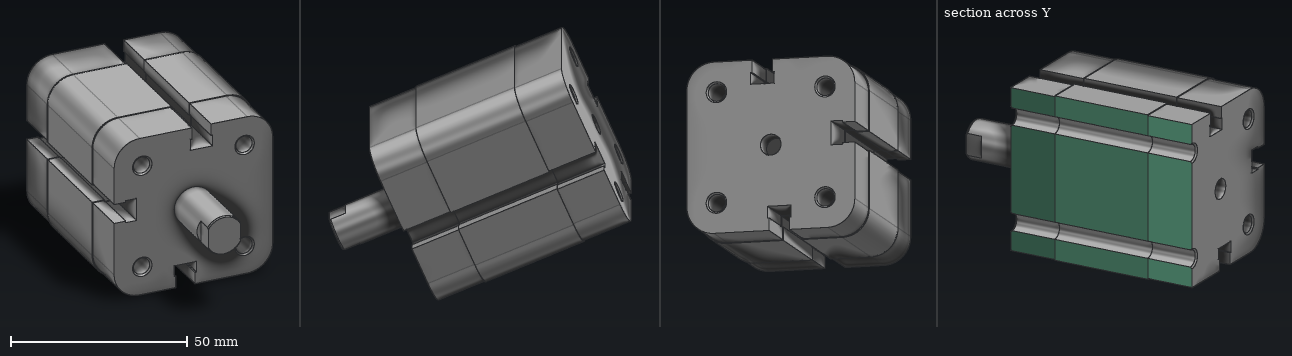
import cadquery as cq

cap_length = 14.5
barrel_length = 30.5
total_length = 80.5
barrel_start = cap_length
front_cap_start = barrel_start + barrel_length
rod_start = front_cap_start + cap_length

barrel_side = 50.0
corner_radius = 8.0
cap_inset = 0.25

slot_offset = 2.5
slot_mouth_width = 5.5
slot_channel_width = 6.4
slot_mouth_depth = 3.9
slot_depth = 7.0

hole_spacing = 31.95
hole_diameter = 5.1
hole_chamfer = 0.5
centre_hole_diameter = 6.0
centre_hole_depth = 6.4

rod_diameter = 12.0
across_flats = 10.0
flat_length = 5.0
flat_runout = 0.5
rod_chamfer_length = 0.5
rod_chamfer_depth = 0.25


def section_plane(x):
    """Plane facing +X whose local axes are Y and Z."""
    return cq.Workplane("YZ", origin=(x, 0, 0))


def slot_cutter(inset, start, length, turn):
    """T-slot opening at +Z, offset towards +Y, then turned about the X axis.

    The inset widens and deepens the slot but leaves the step at the same height.
    """
    outer = barrel_side / 2
    channel_height = slot_depth - slot_mouth_depth + inset
    channel_bottom = outer - slot_depth - inset
    mouth = (
        section_plane(start)
        .center(slot_offset, outer - slot_depth / 2)
        .rect(slot_mouth_width + 2 * inset, slot_depth)
        .extrude(length)
    )
    channel = (
        section_plane(start)
        .center(slot_offset, channel_bottom + channel_height / 2)
        .rect(slot_channel_width + 2 * inset, channel_height)
        .extrude(length)
    )
    return mouth.union(channel).rotate((0, 0, 0), (1, 0, 0), turn)


def slotted_block(inset, start, length):
    """Rounded square block with slots at +Z, -Y and -Z and four corner holes."""
    side = barrel_side - 2 * inset
    block = section_plane(start).rect(side, side).extrude(length)
    block = block.edges("|X").fillet(corner_radius)
    for turn in (0, 90, 180):
        block = block.cut(slot_cutter(inset, start, length, turn))
    holes = (
        section_plane(start)
        .rect(hole_spacing, hole_spacing, forConstruction=True)
        .vertices()
        .circle(hole_diameter / 2)
        .extrude(length)
    )
    return block.cut(holes)


def make_cap(start, outer_face):
    """End cap whose corner holes are chamfered on the outer face."""
    cap = slotted_block(cap_inset, start, cap_length)
    hole_rims = cap.faces(outer_face).edges(cq.selectors.RadiusNthSelector(0))
    return hole_rims.chamfer(hole_chamfer)


def make_rear_cap():
    """Rear cap with a blind centring hole."""
    cap = make_cap(0, "<X")
    centre_hole = section_plane(0).circle(centre_hole_diameter / 2).extrude(centre_hole_depth)
    return cap.cut(centre_hole)


def make_rod():
    """Chamfered rod standing on the front cap, with flats facing +Y and -Y.

    Each flat ends in a steep sloping wall.
    """
    radius = rod_diameter / 2
    rod_blank = (
        cq.Workplane("XY")
        .moveTo(rod_start, 0)
        .lineTo(total_length, 0)
        .lineTo(total_length, -radius + rod_chamfer_depth)
        .lineTo(total_length - rod_chamfer_length, -radius)
        .lineTo(rod_start, -radius)
        .close()
        .revolve(360, (0, 0, 0), (1, 0, 0))
    )
    flat_start = total_length - flat_length
    half_flat = across_flats / 2
    relief = (
        cq.Workplane("XY", origin=(0, 0, -radius))
        .moveTo(total_length, half_flat)
        .lineTo(flat_start, half_flat)
        .lineTo(flat_start - flat_runout, radius)
        .lineTo(total_length, radius)
        .close()
        .extrude(rod_diameter)
    )
    return rod_blank.cut(relief).cut(relief.mirror("XZ"))


rear_cap = make_rear_cap()
barrel = slotted_block(0, barrel_start, barrel_length)
front_cap = make_cap(front_cap_start, ">X")
rod = make_rod()

result = cq.Compound.makeCompound([rear_cap.val(), barrel.val(), front_cap.val(), rod.val()])